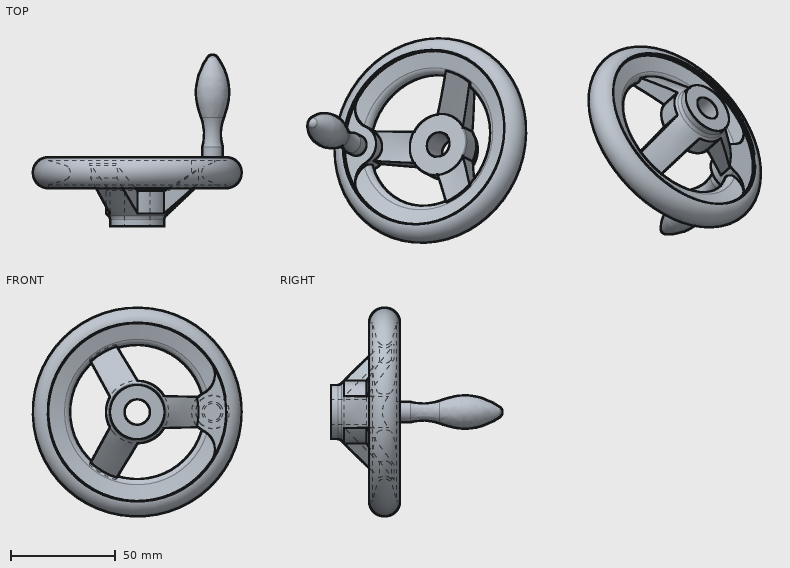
import cadquery as cq
import math


wheel_radius = 50.0
rim_front = 18.2
rim_width = 15.0
rim_round_radius = rim_width / 2
rim_back = rim_front + rim_width
rim_middle = rim_front + rim_round_radius
lip_radius = wheel_radius - rim_round_radius
lip_depth = 1.7
lip_fillet = 0.3
web_front = rim_front + lip_depth
web_back = rim_back - lip_depth
bead_inner_radius = 32.0
bead_radius = 3.8
bead_center_radius = bead_inner_radius + bead_radius

bore_diameter = 12.0
hub_face_diameter = 26.0
hub_diameter = 30.0
hub_back = 17.1
hub_neck_fillet = 2.5
hub_back_fillet = 0.5

spoke_count = 3
spoke_cone_start = 4.4
spoke_front_slope = 0.95
spoke_back_slope = 0.69
spoke_half_width_at_axis = 8.0
spoke_half_width_at_rim = 7.2
spoke_outer_radius = 34.0

boss_front = web_front
boss_back = web_back
boss_radius = 10.0
boss_blend_radius = 10.0

handle_x = 36.0
handle_collar_radius = 5.0
handle_collar_end = 38.0
handle_neck_radius = 4.1
handle_neck_y = 43.5
handle_grip_start_radius = 5.5
handle_grip_start = 52.0
handle_belly_radius = 8.0
handle_belly_y = 62.3
handle_tip_radius = 2.4
handle_tip_start = 81.0
handle_end = 82.2
handle_grip_start_direction = (0.35, 1)
handle_tip_direction = (-0.7, 1)


def revolve_about_y(profile):
    """Turn a closed XY profile (radius, Y) about the Y axis."""
    return profile.close().revolve(360, (0, 0, 0), (0, 1, 0))


def bead_tangent_offset():
    """Point, measured from the bead center, where a line from the foot of the lip touches the bead."""
    dr = lip_radius - bead_center_radius
    dy = rim_middle - web_front
    angle = math.atan2(dy, dr) + math.acos(bead_radius / math.hypot(dr, dy))
    return bead_radius * math.cos(angle), bead_radius * math.sin(angle)


def spoke_front_y(radius):
    return spoke_cone_start + spoke_front_slope * (radius - hub_face_diameter / 2)


def spoke_back_y(radius):
    return hub_back + spoke_back_slope * (radius - hub_diameter / 2)


def make_rim():
    """Rim section, symmetric about its middle plane."""
    tangent_dr, tangent_dy = bead_tangent_offset()
    tangent_radius = bead_center_radius + tangent_dr
    rim = revolve_about_y(
        cq.Workplane("XY")
        .moveTo(lip_radius, rim_back)
        .threePointArc((wheel_radius, rim_middle), (lip_radius, rim_front))
        .lineTo(lip_radius, web_front)
        .lineTo(tangent_radius, rim_middle - tangent_dy)
        .threePointArc((bead_inner_radius, rim_middle), (tangent_radius, rim_middle + tangent_dy))
        .lineTo(lip_radius, web_back)
    )
    return rim.edges("<Y or >Y").fillet(lip_fillet)


def make_spoke_bar():
    """Full-height tapering bar along +X that sets the width of a spoke."""
    return (
        cq.Workplane("XZ")
        .moveTo(0, -spoke_half_width_at_axis)
        .lineTo(spoke_outer_radius, -spoke_half_width_at_rim)
        .lineTo(spoke_outer_radius, spoke_half_width_at_rim)
        .lineTo(0, spoke_half_width_at_axis)
        .close()
        .extrude(-rim_back)
    )


def make_hub_and_spokes():
    """A conical bell around the hub, trimmed to the hub cylinder and the spoke bars."""
    face_radius = hub_face_diameter / 2
    bell = revolve_about_y(
        cq.Workplane("XY")
        .lineTo(face_radius, 0)
        .lineTo(face_radius, spoke_cone_start)
        .lineTo(spoke_outer_radius, spoke_front_y(spoke_outer_radius))
        .lineTo(spoke_outer_radius, spoke_back_y(spoke_outer_radius))
        .lineTo(hub_diameter / 2, hub_back)
        .lineTo(0, hub_back)
    )
    neck = cq.selectors.NearestToPointSelector((face_radius, spoke_cone_start, 0))
    bell = bell.edges("%CIRCLE").edges(neck).fillet(hub_neck_fillet)
    keep = cq.Workplane("XZ").circle(hub_diameter / 2).extrude(-hub_back)
    keep = keep.edges(">Y").fillet(hub_back_fillet)
    bar = make_spoke_bar()
    for index in range(spoke_count):
        keep = keep.union(bar.rotate((0, 0, 0), (0, 1, 0), index * 360 / spoke_count))
    return bell.intersect(keep)


def make_boss():
    """Disc around the handle, joined to the lip circle by a concave arc on each side."""
    to_disc = boss_radius + boss_blend_radius
    to_axis = lip_radius - boss_blend_radius
    center_x = (to_axis**2 - to_disc**2 + handle_x**2) / (2 * handle_x)
    center_z = math.sqrt(to_axis**2 - center_x**2)

    disc_share = boss_radius / to_disc
    disc_touch_x = handle_x + (center_x - handle_x) * disc_share
    disc_touch_z = center_z * disc_share
    lip_share = lip_radius / to_axis
    lip_touch_x = center_x * lip_share
    lip_touch_z = center_z * lip_share

    chord_dx = (disc_touch_x + lip_touch_x) / 2 - center_x
    chord_dz = (disc_touch_z + lip_touch_z) / 2 - center_z
    stretch = boss_blend_radius / math.hypot(chord_dx, chord_dz)
    blend_mid_x = center_x + chord_dx * stretch
    blend_mid_z = center_z + chord_dz * stretch

    return (
        cq.Workplane("XZ", origin=(0, boss_front, 0))
        .moveTo(disc_touch_x, -disc_touch_z)
        .threePointArc((handle_x - boss_radius, 0), (disc_touch_x, disc_touch_z))
        .threePointArc((blend_mid_x, blend_mid_z), (lip_touch_x, lip_touch_z))
        .threePointArc((lip_radius, 0), (lip_touch_x, -lip_touch_z))
        .threePointArc((blend_mid_x, -blend_mid_z), (disc_touch_x, -disc_touch_z))
        .close()
        .extrude(boss_front - boss_back)
    )


def make_handle():
    """Turned handle, seated on the back of the boss."""
    tip_height = handle_end - handle_tip_start
    dome_radius = (handle_tip_radius**2 + tip_height**2) / (2 * tip_height)
    dome_mid = handle_tip_radius / 2
    dome_mid_y = handle_end - dome_radius + math.sqrt(dome_radius**2 - dome_mid**2)
    profile = (
        cq.Workplane("XY")
        .moveTo(0, boss_back)
        .lineTo(handle_collar_radius, boss_back)
        .lineTo(handle_collar_radius, handle_collar_end)
        .threePointArc(
            (handle_neck_radius, handle_neck_y),
            (handle_grip_start_radius, handle_grip_start),
        )
        .spline(
            [(handle_belly_radius, handle_belly_y), (handle_tip_radius, handle_tip_start)],
            tangents=[handle_grip_start_direction, handle_tip_direction],
            includeCurrent=True,
        )
        .threePointArc((dome_mid, dome_mid_y), (0, handle_end))
    )
    return revolve_about_y(profile).translate((handle_x, 0, 0))


wheel = make_rim().union(make_hub_and_spokes()).union(make_boss()).union(make_handle())
bore = cq.Workplane("XZ").circle(bore_diameter / 2).extrude(-hub_back)
result = wheel.cut(bore)